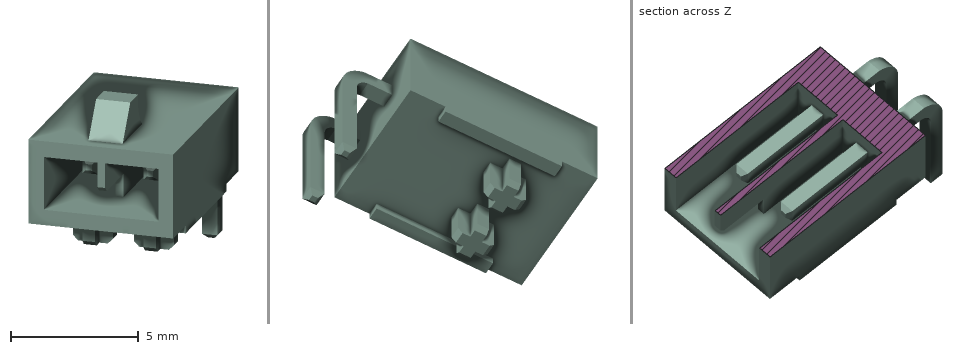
import cadquery as cq


body_width = 5.94
body_length = 8.45
body_height = 3.47

pin_pitch = 2.5
pin_height = 1.72
pocket_center_x = 0.02
cell_size = 2.18
pocket_width = pin_pitch + cell_size
pocket_depth = 6.63
divider_width = pin_pitch - cell_size
divider_gap = 0.97
divider_setback = 2.35
divider_chamfer = 0.19

pin_size = 0.64
pin_recess = 2.35
pin_taper = 0.19
pin_back = 10.7
pin_bottom = -3.52
bend_radius = 1.28
bend_run = 1.01
bend_drop = 1.25

latch_width = 1.4
latch_top = 4.86
latch_front = 0.62
latch_top_front = 1.6
latch_top_back = 2.61
latch_back = 3.15
latch_radius = 1.51

foot_width = 0.56
foot_height = 0.32
foot_front = 1.62
foot_back = 6.87

peg_span = 1.63
peg_arm = 0.52
peg_length = 1.55
peg_chamfer = 0.2
peg_y = 3.2

pocket_bottom = pin_height - cell_size / 2
pocket_top = pin_height + cell_size / 2


def box(x_center, width, y_start, y_end, z_start, z_end):
    """Box centred on x_center and spanning the given Y and Z ranges."""
    size = (width, y_end - y_start, z_end - z_start)
    corner = (x_center - width / 2, y_start, z_start)
    return cq.Workplane("XY").box(*size, centered=False).translate(corner)


def side_profile(x_center, width):
    """YZ sketch plane that extrudes by width to a prism centred on x_center."""
    return cq.Workplane("YZ", origin=(x_center - width / 2, 0, 0))


def make_housing():
    shell = box(0, body_width, 0, body_length, 0, body_height)
    pocket = box(pocket_center_x, pocket_width, 0, pocket_depth, pocket_bottom, pocket_top)
    return shell.cut(pocket)


def make_divider():
    lip = pocket_bottom + divider_gap
    return (
        side_profile(pocket_center_x, divider_width)
        .moveTo(0, pocket_top)
        .lineTo(0, lip + divider_chamfer)
        .lineTo(divider_chamfer, lip)
        .lineTo(divider_setback, lip)
        .lineTo(divider_setback, pocket_bottom)
        .lineTo(pocket_depth, pocket_bottom)
        .lineTo(pocket_depth, pocket_top)
        .close()
        .extrude(divider_width)
    )


def make_latch():
    return (
        side_profile(0, latch_width)
        .moveTo(latch_front, body_height)
        .lineTo(latch_top_front, latch_top)
        .lineTo(latch_top_back, latch_top)
        .radiusArc((latch_back, body_height), -latch_radius)
        .close()
        .extrude(latch_width)
    )


def make_foot(side):
    x_center = side * (body_width - foot_width) / 2
    return box(x_center, foot_width, foot_front, foot_back, -foot_height, 0)


def make_peg(x_center):
    arms = cq.Workplane("XY")
    for x_size, y_size, end_edges in (
        (peg_span, peg_arm, "|Y"),
        (peg_arm, peg_span, "|X"),
    ):
        arm = box(x_center, x_size, peg_y - y_size / 2, peg_y + y_size / 2, -peg_length, 0)
        arms = arms.add(arm.faces("<Z").edges(end_edges).chamfer(peg_chamfer))
    return arms.combine()


def make_pin(x_center):
    top = pin_height + pin_size / 2
    bottom = top - pin_size
    inner_scale = (bend_radius - pin_size) / bend_radius
    inner_y = pin_back - pin_size
    pin = (
        side_profile(x_center, pin_size)
        .moveTo(pin_recess, top)
        .lineTo(pin_back - bend_run, top)
        .radiusArc((pin_back, top - bend_drop), bend_radius)
        .lineTo(pin_back, pin_bottom)
        .lineTo(inner_y, pin_bottom)
        .lineTo(inner_y, bottom - bend_drop * inner_scale)
        .radiusArc((inner_y - bend_run * inner_scale, bottom), -bend_radius * inner_scale)
        .lineTo(pin_recess, bottom)
        .close()
        .extrude(pin_size)
    )
    return pin.faces("<Y or <Z").chamfer(pin_taper)


result = make_housing().union(make_divider()).union(make_latch())
for side in (-1, 1):
    pin_offset = side * pin_pitch / 2
    result = result.union(make_foot(side))
    result = result.union(make_peg(pin_offset))
    result = result.union(make_pin(pocket_center_x + pin_offset))